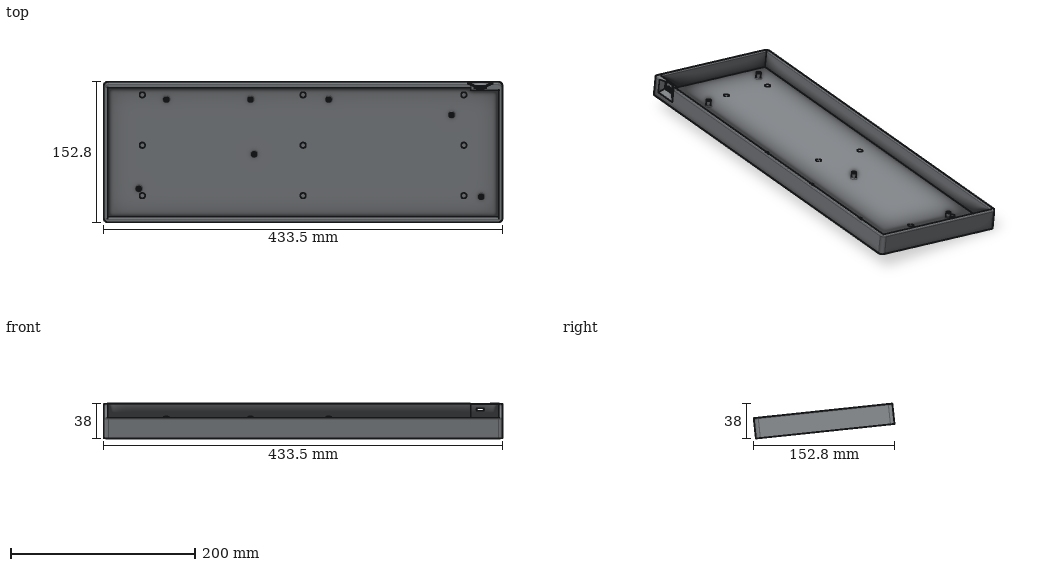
import cadquery as cq
length = 433.5
width = 151.5
height = 22.5
tilt_angle = 6.0
wall = 4.5
floor = 3.5
corner_radius = 4.8
outer_rim_radius = 1.0
inner_rim_radius = 0.5

pad_length = 34.5
pad_depth = 2.5
back = width / 2
inner_back = back - wall
inner_right = length / 2 - wall

port_x = 192.5
slot_width = 8.2
slot_height = 2.7
slot_z = 16.5
web = 2.0
recess_depth = wall + pad_depth - web
flare_depth = 3.0
recess_inner_width = 13.0
flare = 7.0
recess_floor_z = 14.0

boss_diameter = 5.0
boss_height = 6.5
boss_base_radius = 1.1
boss_hole_diameter = 2.0
boss_places = [
    (-148.5, 57.2),
    (-57.2, 57.2),
    (27.7, 57.2),
    (161.3, 40.5),
    (-53.5, -2.5),
    (-178.5, -40.5),
    (193.5, -49.0),
]

foot_diameter = 6.0
foot_skin = 1.0
foot_depth = floor - foot_skin
foot_pitch_x = 174.5
foot_pitch_y = 55.0
foot_center_y = 6.5


def make_shell():
    outside = (
        cq.Workplane("XY")
        .box(length, width, height, centered=(True, True, False))
        .edges("|Z").fillet(corner_radius)
        .faces("<Z or >Z").edges().fillet(outer_rim_radius)
    )
    cavity = (
        cq.Workplane("XY", origin=(0, 0, floor))
        .box(length - 2 * wall, width - 2 * wall, height, centered=(True, True, False))
    )
    margin = wall / 4
    inner_rim = cq.selectors.BoxSelector(
        (-inner_right - margin, -inner_back - margin, height - margin),
        (inner_right + margin, inner_back + margin, height + margin),
    )
    return outside.cut(cavity).edges(inner_rim).fillet(inner_rim_radius)


def make_pad():
    """Block against the inside of the back wall, reaching into the right wall."""
    return (
        cq.Workplane("XY", origin=(length / 2 - pad_length, inner_back - pad_depth, 0))
        .box(pad_length - wall / 2, pad_depth + wall / 2, height, centered=False)
    )


def recess_section(depth, side_flare):
    """Rectangle across the recess at a depth behind the back face, open through the rim."""
    bottom = recess_floor_z - side_flare
    top = height + flare
    return (
        cq.Workplane("XZ", origin=(port_x, back - depth, (bottom + top) / 2))
        .rect(recess_inner_width + 2 * side_flare, top - bottom)
        .wires().val()
    )


def make_port():
    outer = recess_section(0, flare)
    inner = recess_section(flare_depth, 0)
    back_end = recess_section(recess_depth, 0)
    mouth = cq.Workplane(cq.Solid.makeLoft([outer, inner], True))
    pocket = cq.Workplane(cq.Solid.makeLoft([inner, back_end], True))
    slot = (
        cq.Workplane("XZ", origin=(port_x, back, slot_z))
        .slot2D(slot_width, slot_height)
        .extrude(2 * (wall + pad_depth))
    )
    return mouth.union(pocket).union(slot)


def make_boss(x, y):
    """Tube on the floor, widened by a concave fillet at its foot."""
    return (
        cq.Workplane("XZ", origin=(x, y, floor))
        .moveTo(boss_hole_diameter / 2, 0)
        .lineTo(boss_diameter / 2 + boss_base_radius, 0)
        .radiusArc((boss_diameter / 2, boss_base_radius), boss_base_radius)
        .lineTo(boss_diameter / 2, boss_height)
        .lineTo(boss_hole_diameter / 2, boss_height)
        .close()
        .revolve(360, (0, 0, 0), (0, 1, 0))
    )


def make_foot_holes():
    return (
        cq.Workplane("XY", origin=(0, foot_center_y, 0))
        .rarray(foot_pitch_x, foot_pitch_y, 3, 3)
        .circle(foot_diameter / 2)
        .extrude(foot_depth)
    )


tray = make_shell().union(make_pad()).cut(make_port())
for boss_x, boss_y in boss_places:
    tray = tray.union(make_boss(boss_x, boss_y))
tray = tray.cut(make_foot_holes())
result = tray.rotate((0, 0, 0), (1, 0, 0), tilt_angle)